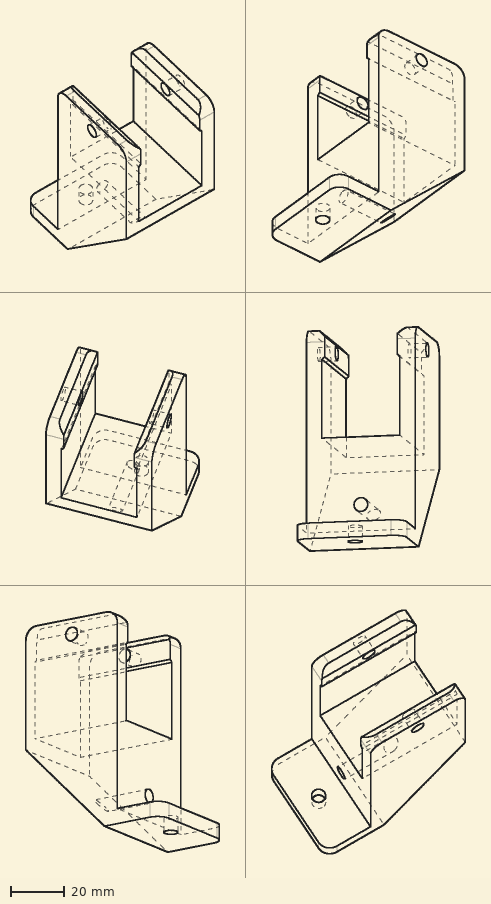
import cadquery as cq

length = 62.0
width = 42.0
height = 84.0
corner_radius = 5.0

foot_thickness = 6.0
tower_size = 42.0
tower_start = length - tower_size
tower_middle = length - tower_size / 2
back_bevel = 36.0

slot_width = 30.0
slot_floor = 42.0
lip_gap = 28.0
lip_bottom = 73.1
lip_step = (slot_width - lip_gap) / 2
mouth_depth = 3.0
mouth_width = lip_gap + 2 * mouth_depth

hole_diameter = 5.3
foot_hole_x = 10.0
wall_hole_z = 16.0
cheek_hole_z = 78.0


def make_body():
    """Side outline of foot and tower, extruded across the width."""
    body = (
        cq.Workplane("XZ")
        .moveTo(0, 0)
        .lineTo(length - back_bevel, 0)
        .lineTo(length, back_bevel)
        .lineTo(length, height)
        .lineTo(tower_start, height)
        .lineTo(tower_start, foot_thickness)
        .lineTo(0, foot_thickness)
        .close()
        .extrude(width / 2, both=True)
    )
    body = body.edges("|Z and <X").fillet(corner_radius)
    return body.edges("|Y and >Z").fillet(corner_radius)


def make_slot():
    """Slot that narrows between the lips and flares at the mouth."""
    half_slot = slot_width / 2
    half_gap = lip_gap / 2
    half_mouth = mouth_width / 2
    return (
        cq.Workplane("YZ")
        .moveTo(0, slot_floor)
        .lineTo(half_slot, slot_floor)
        .lineTo(half_slot, lip_bottom - lip_step)
        .lineTo(half_gap, lip_bottom)
        .lineTo(half_gap, height - mouth_depth)
        .lineTo(half_mouth, height)
        .lineTo(0, height)
        .mirrorY()
        .extrude(length)
    )


def make_holes():
    """Drills through the foot, the upright and both cheeks."""
    radius = hole_diameter / 2
    foot_hole = cq.Workplane("XY").center(foot_hole_x, 0).circle(radius).extrude(foot_thickness)
    wall_hole = cq.Workplane("YZ").center(0, wall_hole_z).circle(radius).extrude(length)
    cheek_hole = (
        cq.Workplane("XZ")
        .center(tower_middle, cheek_hole_z)
        .circle(radius)
        .extrude(width / 2, both=True)
    )
    return foot_hole, wall_hole, cheek_hole


result = make_body().cut(make_slot())
for hole in make_holes():
    result = result.cut(hole)